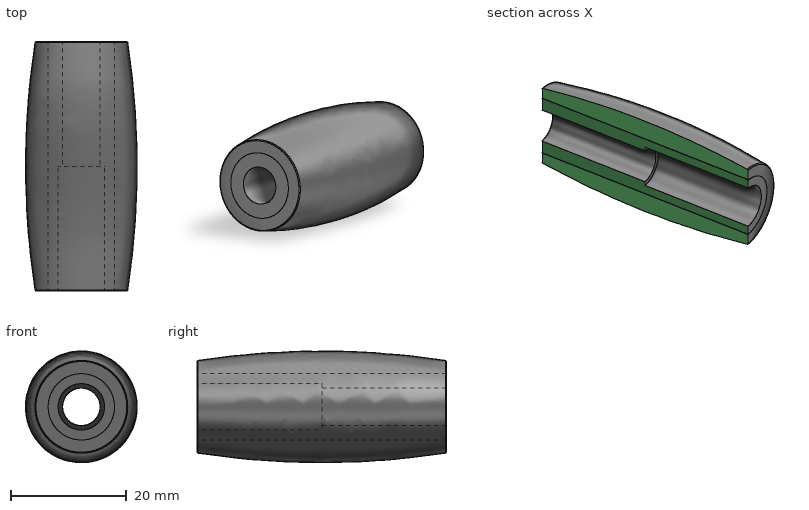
import cadquery as cq

LENGTH = 43.2
MIDDLE_RADIUS = 9.67
RIM_RADIUS = 8.05
END_CHAMFER = 0.17

SLEEVE_RADIUS = 5.75
BORE_RADIUS = 3.25
COUNTERBORE_RADIUS = 4.0
COUNTERBORE_DEPTH = LENGTH / 2

HALF_LENGTH = LENGTH / 2
AXIS_START = (0, 0)
AXIS_END = (0, 1)


def make_grip():
    """Barrel-shaped shell with chamfered ends and a straight bore for the sleeve."""
    rim_y = HALF_LENGTH - END_CHAMFER
    face_radius = RIM_RADIUS - END_CHAMFER
    profile = (
        cq.Workplane("XY")
        .moveTo(SLEEVE_RADIUS, -HALF_LENGTH)
        .lineTo(face_radius, -HALF_LENGTH)
        .lineTo(RIM_RADIUS, -rim_y)
        .threePointArc((MIDDLE_RADIUS, 0), (RIM_RADIUS, rim_y))
        .lineTo(face_radius, HALF_LENGTH)
        .lineTo(SLEEVE_RADIUS, HALF_LENGTH)
        .close()
    )
    return profile.revolve(360, AXIS_START, AXIS_END)


def make_sleeve():
    """Tube filling the grip, with a through bore widened from the -Y end."""
    step_y = -HALF_LENGTH + COUNTERBORE_DEPTH
    profile = (
        cq.Workplane("XY")
        .moveTo(COUNTERBORE_RADIUS, -HALF_LENGTH)
        .lineTo(SLEEVE_RADIUS, -HALF_LENGTH)
        .lineTo(SLEEVE_RADIUS, HALF_LENGTH)
        .lineTo(BORE_RADIUS, HALF_LENGTH)
        .lineTo(BORE_RADIUS, step_y)
        .lineTo(COUNTERBORE_RADIUS, step_y)
        .close()
    )
    return profile.revolve(360, AXIS_START, AXIS_END)


grip = make_grip()
sleeve = make_sleeve()

result = cq.Compound.makeCompound([grip.val(), sleeve.val()])